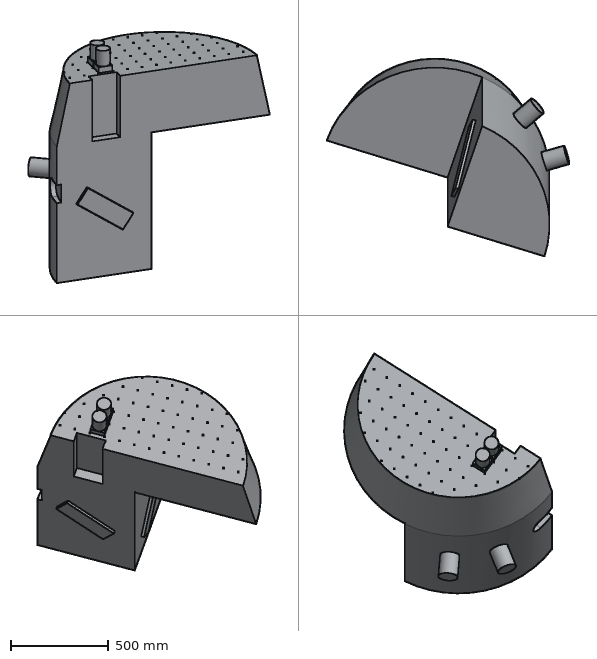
import cadquery as cq
import math

back_x = -10.0

outer_radius = 590.0
pedestal_height = 759.0
pedestal_side_y = -65.0

table_radius = 519.0
table_top_z = 1101.0
plate_thickness = 9.0
plate_bottom_z = table_top_z - plate_thickness

hole_diameter = 6.0
hole_columns = 6
hole_rows = 13
hole_grid_length = 960.0
hole_pitch = hole_grid_length / (hole_rows - 1)
first_hole_inset = 73.0
first_hole_x = back_x - first_hole_inset
first_hole_y = 470.0
hole_edge_margin = 2.0
hole_limit_radius = table_radius - hole_edge_margin

foot_side = 74.0
foot_height = 32.0
post_diameter = 73.0
post_top_z = 1219.0
post_row = 9
post_count = 2

pipe_diameter = 100.0
pipe_reach = 708.0
pipe_angles = (210, 235)
pipe_z = 495.0
slot_angle = 260
slot_floor_distance = 560.0
slot_run = 146.0

notch_depth = 54.0
notch_width = 155.0
notch_center_y = -316.0

panel_thickness = 16.0
panel_width = 102.0
back_panel_length = 307.0
back_panel_tilt = 35
side_panel_length = 406.0
side_panel_tilt = 45
side_panel_z = 270.0


def box_between(low, high):
    """Box spanning two opposite corner points."""
    size = [b - a for a, b in zip(low, high)]
    return cq.Workplane("XY").box(*size, centered=False).translate(low)


def make_pedestal():
    cylinder = cq.Workplane("XY").circle(outer_radius).extrude(pedestal_height)
    keep = box_between(
        (-outer_radius, -outer_radius, 0),
        (back_x, pedestal_side_y, pedestal_height),
    )
    return cylinder.intersect(keep)


def make_head():
    profile = [
        (0, pedestal_height),
        (outer_radius, pedestal_height),
        (table_radius, plate_bottom_z),
        (table_radius, table_top_z),
        (0, table_top_z),
    ]
    full_round = cq.Workplane("XZ").polyline(profile).close().revolve(360, (0, 0), (0, 1))
    keep = box_between(
        (-outer_radius, -outer_radius, pedestal_height),
        (back_x, outer_radius, table_top_z),
    )
    return full_round.intersect(keep)


def make_notch():
    return box_between(
        (back_x - notch_depth, notch_center_y - notch_width / 2, pedestal_height),
        (back_x, notch_center_y + notch_width / 2, table_top_z),
    )


def grid_point(column, row):
    """Grid place; columns count away from the back face, rows toward -Y."""
    return first_hole_x - column * hole_pitch, first_hole_y - row * hole_pitch


def make_plate_holes():
    points = []
    for column in range(hole_columns):
        for row in range(hole_rows):
            point = grid_point(column, row)
            if math.hypot(*point) < hole_limit_radius:
                points.append(point)
    plane = cq.Workplane("XY", origin=(0, 0, plate_bottom_z))
    return plane.pushPoints(points).circle(hole_diameter / 2).extrude(plate_thickness)


def make_post(column):
    x, y = grid_point(column + 0.5, post_row + 0.5)
    foot = cq.Workplane("XY", origin=(x, y, table_top_z)).rect(foot_side, foot_side).extrude(foot_height)
    foot_top_z = table_top_z + foot_height
    post = cq.Workplane("XY", origin=(x, y, foot_top_z)).circle(post_diameter / 2)
    return foot.union(post.extrude(post_top_z - foot_top_z))


def make_pipe(angle):
    """Stub pipe from inside the pedestal outward along a radius."""
    start = outer_radius / 2
    pipe = cq.Workplane("YZ", origin=(start, 0, pipe_z)).circle(pipe_diameter / 2)
    return pipe.extrude(pipe_reach - start).rotate((0, 0, 0), (0, 0, 1), angle)


def make_slot():
    """Radial cut with a flat floor, round at its -X end and running out through the back face."""
    radius = pipe_diameter / 2
    outline = (
        cq.Workplane("YZ", origin=(slot_floor_distance, 0, pipe_z))
        .moveTo(slot_run, radius)
        .lineTo(0, radius)
        .threePointArc((-radius, 0), (0, -radius))
        .lineTo(slot_run, -radius)
        .close()
    )
    cutter = outline.extrude(outer_radius - slot_floor_distance)
    return cutter.rotate((0, 0, 0), (0, 0, 1), slot_angle)


def make_back_panel():
    """Panel centred on the back face, its +Y end tilted down."""
    center = (back_x, (pedestal_side_y - outer_radius) / 2, pedestal_height / 2)
    panel = cq.Workplane("YZ", origin=center).transformed(rotate=(0, 0, -back_panel_tilt))
    return panel.rect(back_panel_length, panel_width).extrude(panel_thickness)


def make_side_panel():
    """Panel on the side face, its +X end tilted down."""
    center = ((back_x - outer_radius) / 2, pedestal_side_y, side_panel_z)
    panel = cq.Workplane("XZ", origin=center).transformed(rotate=(0, 0, -side_panel_tilt))
    return panel.rect(side_panel_length, panel_width).extrude(-panel_thickness)


result = make_pedestal().union(make_head())
result = result.cut(make_notch()).cut(make_plate_holes()).cut(make_slot())
for pipe_angle in pipe_angles:
    result = result.union(make_pipe(pipe_angle))
for post_column in range(post_count):
    result = result.union(make_post(post_column))
result = result.union(make_back_panel()).union(make_side_panel())